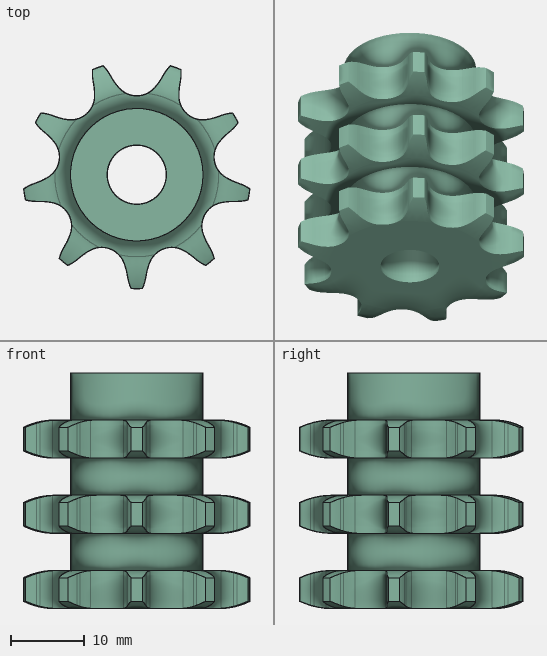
import cadquery as cq
import math

tooth_count = 9
chain_pitch = 9.55
roller_diameter = 6.35
seat_clearance = 0.04
tip_radius = 15.5

row_count = 3
row_spacing = 10.2
row_thickness = 5.2
flat_face_radius = 11.15
side_round_radius = 10.0

hub_diameter = 18.0
hub_length = 32
bore_diameter = 8

half_tooth_angle = math.pi / tooth_count
pitch_radius = chain_pitch / 2 / math.sin(half_tooth_angle)

seat_angle = math.radians(35 + 60 / tooth_count)
working_angle = math.radians(18 - 56 / tooth_count)
seat_radius = 1.005 * roller_diameter / 2 + seat_clearance
working_center_distance = 0.8 * roller_diameter
topping_center_distance = 1.4 * roller_diameter
working_radius = working_center_distance + seat_radius


def offset(point, distance, angle):
    """Point at a distance and angle from another point."""
    return (point[0] + distance * math.cos(angle), point[1] + distance * math.sin(angle))


def direction(start, end):
    """Angle of the line from start to end, in radians."""
    return math.atan2(end[1] - start[1], end[0] - start[0])


def left_flank():
    """Points up the left side of the tooth gap centred on +Y, from seat to pointed tooth tip."""
    roller_center = (0, pitch_radius)

    working_center = offset(roller_center, working_center_distance, seat_angle)
    working_start_direction = math.pi + seat_angle
    working_end_direction = working_start_direction - working_angle
    seat_end = offset(working_center, working_radius, working_start_direction)
    working_middle_direction = working_start_direction - working_angle / 2
    working_middle = offset(working_center, working_radius, working_middle_direction)
    working_end = offset(working_center, working_radius, working_end_direction)

    topping_center = offset(roller_center, topping_center_distance, math.pi + half_tooth_angle)
    tangent_direction = working_end_direction - math.pi / 2
    along_tangent = (
        (topping_center[0] - working_end[0]) * math.cos(tangent_direction)
        + (topping_center[1] - working_end[1]) * math.sin(tangent_direction)
    )
    topping_start = offset(working_end, along_tangent, tangent_direction)
    topping_radius = math.dist(topping_center, topping_start)

    reach_to_tooth = topping_center_distance - chain_pitch / 2
    start_direction = direction(topping_center, topping_start)
    end_direction = half_tooth_angle + math.acos(reach_to_tooth / topping_radius)
    topping_middle = offset(topping_center, topping_radius, (start_direction + end_direction) / 2)
    topping_end = offset(topping_center, topping_radius, end_direction)

    return [seat_end, working_middle, working_end, topping_start, topping_middle, topping_end]


def tooth_outline():
    """Closed outline of pointed teeth, one gap at a time around the axis."""
    left = left_flank()
    right = [(-x, y) for x, y in left]

    def turned(point, gap):
        """Point moved clockwise around the axis by a number of gaps."""
        return offset((0, 0), math.hypot(*point), direction((0, 0), point) - 2 * half_tooth_angle * gap)

    outline = cq.Workplane("XY").moveTo(*left[-1])
    for gap in range(tooth_count):
        seat_end, working_middle, working_end, topping_start, topping_middle, _ = (
            turned(point, gap) for point in left
        )
        outline = outline.threePointArc(topping_middle, topping_start)
        outline = outline.lineTo(*working_end)
        outline = outline.threePointArc(working_middle, seat_end)

        seat_end, working_middle, working_end, topping_start, topping_middle, topping_end = (
            turned(point, gap) for point in right
        )
        outline = outline.threePointArc(turned((0, pitch_radius - seat_radius), gap), seat_end)
        outline = outline.threePointArc(working_middle, working_end)
        outline = outline.lineTo(*topping_start)
        outline = outline.threePointArc(topping_middle, topping_end)
    return outline.close()


def row_blank():
    """Round disc whose two faces curve towards each other outside the flat area."""
    def side_drop(radius):
        """Depth of the curved side below the flat face at a radius."""
        return side_round_radius - math.sqrt(side_round_radius**2 - (radius - flat_face_radius) ** 2)

    middle_radius = (flat_face_radius + tip_radius) / 2
    tip_drop = side_drop(tip_radius)
    middle_drop = side_drop(middle_radius)
    return (
        cq.Workplane("XZ")
        .lineTo(flat_face_radius, 0)
        .threePointArc((middle_radius, middle_drop), (tip_radius, tip_drop))
        .lineTo(tip_radius, row_thickness - tip_drop)
        .threePointArc((middle_radius, row_thickness - middle_drop), (flat_face_radius, row_thickness))
        .lineTo(0, row_thickness)
        .close()
        .revolve(360, (0, 0, 0), (0, 1, 0))
    )


toothed_row = tooth_outline().extrude(row_thickness).intersect(row_blank())

body = cq.Workplane("XY").circle(hub_diameter / 2).extrude(hub_length)
for row in range(row_count):
    body = body.union(toothed_row.translate((0, 0, row * row_spacing)))

bore = cq.Workplane("XY").circle(bore_diameter / 2).extrude(hub_length)
result = body.cut(bore)